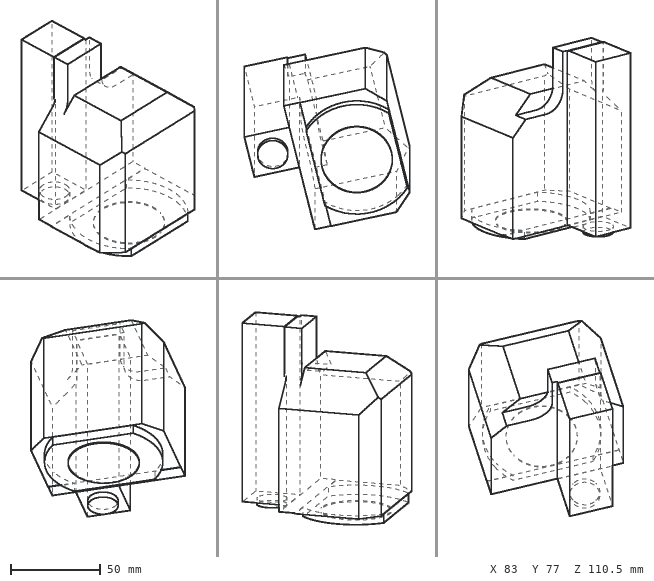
import cadquery as cq
import math

block_x_start = 26.0
block_x_end = 83.0
block_width = 77.0
block_bottom = 6.4
block_top = 86.0
side_bevel = 19.5
end_bevel = 12.0
corner_bevel = 10.1
half_width = block_width / 2

total_height = 110.5
shank_bottom = 6.7
shank_y_min = -25.0
shank_y_max = 0

web_x_start = 24.9
web_x_end = 35.0
web_y_min = -24.5
web_y_max = 3.0
web_top = 110.2
shelf_height = 75.6
shelf_fillet = 12.0
bevel_fillet = 10.1

disc_x = 59.0
disc_flat_width = 47.5
disc_diameter = 66.5
pad_bottom = 6.1
disc_bottom = 0.7
face_diameter = 40.0

pin_x = 13.5
pin_y = -12.4
pin_diameter = 17.0
pin_bottom = 3.3


def box(x_min, x_max, y_min, y_max, z_min, z_max):
    """Box given by its limits along each axis."""
    size = (x_max - x_min, y_max - y_min, z_max - z_min)
    return cq.Workplane().box(*size, centered=False).translate((x_min, y_min, z_min))


def cylinder(x, y, diameter, z_min, z_max):
    """Vertical cylinder between two heights."""
    return cq.Workplane(origin=(x, y, z_min)).circle(diameter / 2).extrude(z_max - z_min)


def block():
    """Block with bevelled top edges and bevelled rear corners."""
    body = box(block_x_start, block_x_end, -half_width, half_width, block_bottom, block_top)
    pad_x_start = disc_x - disc_flat_width / 2
    pad = box(pad_x_start, block_x_end, -half_width, half_width, pad_bottom, block_bottom)
    body = body.union(pad)

    shoulder = block_top - side_bevel
    end_section = (
        cq.Workplane("YZ", origin=(block_x_start, 0, 0))
        .moveTo(-half_width, pad_bottom)
        .lineTo(half_width, pad_bottom)
        .lineTo(half_width, shoulder)
        .lineTo(half_width - side_bevel, block_top)
        .lineTo(side_bevel - half_width, block_top)
        .lineTo(-half_width, shoulder)
        .close()
        .extrude(block_x_end - block_x_start)
    )
    side_section = (
        cq.Workplane("XZ", origin=(0, half_width, 0))
        .moveTo(block_x_start, pad_bottom)
        .lineTo(block_x_end, pad_bottom)
        .lineTo(block_x_end, block_top - end_bevel)
        .lineTo(block_x_end - end_bevel, block_top)
        .lineTo(block_x_start, block_top)
        .close()
        .extrude(block_width)
    )
    plan = box(
        block_x_start, block_x_end, -half_width, half_width, pad_bottom, block_top
    ).edges("|Z and >X").chamfer(corner_bevel)
    return body.intersect(end_section).intersect(side_section).intersect(plan)


def web_outline():
    """Web section: filleted into the shelf on +Y and into the side bevel on -Y."""
    fillet_start_y = web_y_min - bevel_fillet * (1 - math.cos(math.pi / 4))
    fillet_start_z = block_top - side_bevel + half_width + fillet_start_y
    fillet_end_z = fillet_start_z + bevel_fillet * math.sin(math.pi / 4)
    fillet_mid_y = web_y_min - bevel_fillet * (1 - math.cos(math.pi / 8))
    fillet_mid_z = fillet_end_z - bevel_fillet * math.sin(math.pi / 8)
    shelf_end_y = half_width - (shelf_height - (block_top - side_bevel))
    return (
        cq.Workplane("YZ", origin=(web_x_start, 0, 0))
        .moveTo(-half_width, block_bottom)
        .lineTo(-half_width, block_top - side_bevel)
        .lineTo(fillet_start_y, fillet_start_z)
        .threePointArc((fillet_mid_y, fillet_mid_z), (web_y_min, fillet_end_z))
        .lineTo(web_y_min, web_top)
        .lineTo(web_y_max, web_top)
        .lineTo(web_y_max, shelf_height + shelf_fillet)
        .radiusArc((web_y_max + shelf_fillet, shelf_height), -shelf_fillet)
        .lineTo(shelf_end_y, shelf_height)
        .lineTo(half_width, block_top - side_bevel)
        .lineTo(half_width, block_bottom)
        .close()
        .extrude(web_x_end - web_x_start)
    )


def seat():
    """Flatted disc with a smaller raised face below it."""
    disc = cylinder(disc_x, 0, disc_diameter, disc_bottom, pad_bottom)
    half_flat = disc_flat_width / 2
    radius = disc_diameter / 2
    flats = box(disc_x - half_flat, disc_x + half_flat, -radius, radius, disc_bottom, pad_bottom)
    return disc.intersect(flats).union(cylinder(disc_x, 0, face_diameter, 0, disc_bottom))


shank = box(0, block_x_start, shank_y_min, shank_y_max, shank_bottom, total_height)
pin = cylinder(pin_x, pin_y, pin_diameter, pin_bottom, shank_bottom)

web_slot = box(web_x_start, web_x_end, -half_width, half_width, shelf_height, total_height)
web = web_outline()
web_behind_shank = web.intersect(
    box(block_x_start, web_x_end, -half_width, half_width, shelf_height, total_height)
)
web_over_shank = web.intersect(
    box(web_x_start, block_x_start, shank_y_min, shank_y_max, shelf_height, total_height)
)

result = (
    block()
    .union(shank)
    .cut(web_slot)
    .union(web_behind_shank)
    .union(web_over_shank)
    .union(seat())
    .union(pin)
)